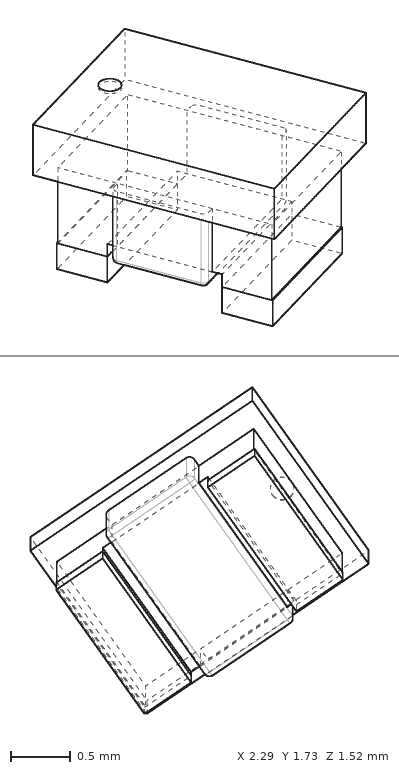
import cadquery as cq

total_height = 1.52
plate_length = 2.29
plate_width = 1.73
plate_height = 0.504
plate_bottom = total_height - plate_height

mark_diameter = 0.2
mark_depth = 0.023
mark_edge_distance = 0.295
mark_x = mark_edge_distance - plate_length / 2

core_length = 2.03
core_width = 1.315
web_bottom = 0.385
leg_gap = 1.085

terminal_span = 2.047
terminal_height = 0.259
terminal_length = (terminal_span - leg_gap) / 2
terminal_x = (leg_gap + terminal_length) / 2

winding_length = 0.9
winding_width = 1.55
winding_bottom = 0.277
winding_radius = 0.05


def block(length, width, bottom, top, x=0.0):
    """Box centred on Y, between two heights, with its centre at the given x."""
    return (
        cq.Workplane("XY", origin=(x, 0, bottom))
        .rect(length, width)
        .extrude(top - bottom)
    )


def make_mark():
    return (
        cq.Workplane("XY", origin=(mark_x, 0, total_height - mark_depth))
        .circle(mark_diameter / 2)
        .extrude(mark_depth)
    )


def make_plate(mark):
    plate = block(plate_length, plate_width, plate_bottom, total_height)
    return plate.cut(mark)


def make_core():
    body = block(core_length, core_width, terminal_height, plate_bottom)
    leg_opening = block(leg_gap, core_width, terminal_height, web_bottom)
    return body.cut(leg_opening)


def make_winding():
    """Box with rounded vertical and lower edges, hollowed to fit the core web."""
    outer = block(winding_length, winding_width, winding_bottom, plate_bottom)
    rounded = outer.edges("|Z or <Z").fillet(winding_radius)
    web_space = block(winding_length, core_width, web_bottom, plate_bottom)
    return rounded.cut(web_space)


def make_terminal(x):
    return block(terminal_length, core_width, 0.0, terminal_height, x)


mark = make_mark()
plate = make_plate(mark)
core = make_core()
winding = make_winding()
terminals = [make_terminal(side * terminal_x) for side in (-1, 1)]

result = cq.Compound.makeCompound([
    plate.val(),
    mark.val(),
    core.val(),
    winding.val(),
    *[terminal.val() for terminal in terminals],
])